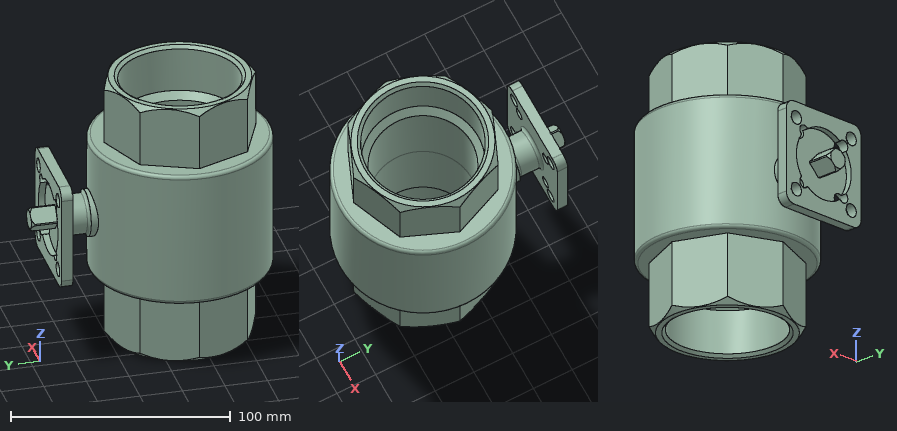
import cadquery as cq
import math

LENGTH = 130.0
BODY_DIAMETER = 85.0
TOP_END_LENGTH = 29.8
BOTTOM_END_LENGTH = 34.3
BODY_EDGE_FILLET = 1.7

OCTAGON_SIDES = 8
OCTAGON_CORNER_DIAMETER = 71.5
END_FACE_DIAMETER = 65.5
END_CHAMFER_HEIGHT = 3.0

BORE_DIAMETER = 50.0
SOCKET_DIAMETER = 56.7
SOCKET_DEPTH = 22.9
MOUTH_CHAMFER = 1.5

COLLAR_DIAMETER = 22.0
NECK_DIAMETER = 19.0
COLLAR_TOP = 44.5
PLATE_BOTTOM = 56.4
PLATE_TOP = 61.9
STEM_TIP = 71.0
NECK_FILLET = 1.5
COLLAR_FILLET = 1.4

PLATE_WIDTH = 48.4
PLATE_HEIGHT = 51.0
PLATE_CORNER_RADIUS = 5.0
OUTER_BOLT_CIRCLE = 50.0
OUTER_HOLE_DIAMETER = 6.5
INNER_BOLT_CIRCLE = 36.0
INNER_HOLE_DIAMETER = 5.5
RECESS_DIAMETER = 35.4
RECESS_DEPTH = 3.1

DRIVE_SQUARE = 9.0
DRIVE_CORNER_DIAMETER = 12.0
DRIVE_TIP_CHAMFER = 1.3

HALF_LENGTH = LENGTH / 2
BODY_BOTTOM = BOTTOM_END_LENGTH - HALF_LENGTH
RECESS_FLOOR = PLATE_TOP - RECESS_DEPTH
BODY_HEIGHT = LENGTH - TOP_END_LENGTH - BOTTOM_END_LENGTH


def plane_across_stem(distance):
    """XZ sketch plane at a distance from the bore axis, facing +Y."""
    return cq.Workplane(cq.Plane(origin=(0, distance, 0), xDir=(-1, 0, 0), normal=(0, 1, 0)))


def make_body():
    body = cq.Workplane("XY").workplane(offset=BODY_BOTTOM).circle(BODY_DIAMETER / 2).extrude(BODY_HEIGHT)
    return body.edges("%CIRCLE").fillet(BODY_EDGE_FILLET)


def make_octagon():
    """Octagonal bar over the full length, its end corners turned down to a cone."""
    bar = (
        cq.Workplane("XY")
        .workplane(offset=-HALF_LENGTH)
        .polygon(OCTAGON_SIDES, OCTAGON_CORNER_DIAMETER)
        .extrude(LENGTH)
    )
    end_radial = (OCTAGON_CORNER_DIAMETER - END_FACE_DIAMETER) / 2
    turned_envelope = (
        cq.Workplane("XY")
        .workplane(offset=-HALF_LENGTH)
        .circle(OCTAGON_CORNER_DIAMETER / 2)
        .extrude(LENGTH)
        .faces(">Z or <Z")
        .chamfer(END_CHAMFER_HEIGHT, end_radial)
    )
    return bar.intersect(turned_envelope)


def make_bore():
    """Through bore with a chamfered socket at each end and a 45 degree socket floor."""
    bore_radius = BORE_DIAMETER / 2
    socket_radius = SOCKET_DIAMETER / 2
    mouth_radius = socket_radius + MOUTH_CHAMFER
    socket_floor = HALF_LENGTH - SOCKET_DEPTH
    cone_end = socket_floor - (socket_radius - bore_radius)
    half = (
        cq.Workplane("XZ")
        .moveTo(0, 0)
        .lineTo(bore_radius, 0)
        .lineTo(bore_radius, cone_end)
        .lineTo(socket_radius, socket_floor)
        .lineTo(socket_radius, HALF_LENGTH - MOUTH_CHAMFER)
        .lineTo(mouth_radius, HALF_LENGTH)
        .lineTo(0, HALF_LENGTH)
        .close()
        .revolve(360, (0, 0, 0), (0, 1, 0))
    )
    return half.union(half.mirror("XY"))


def make_stem():
    """Collar and neck, turned about Y, flaring into the mounting plate."""
    collar_radius = COLLAR_DIAMETER / 2
    neck_radius = NECK_DIAMETER / 2
    arc_midpoint = 1 - math.sqrt(0.5)
    collar_arc = COLLAR_FILLET * arc_midpoint
    neck_arc = NECK_FILLET * arc_midpoint
    return (
        cq.Workplane("XY")
        .moveTo(0, 0)
        .lineTo(collar_radius, 0)
        .lineTo(collar_radius, COLLAR_TOP)
        .lineTo(neck_radius + COLLAR_FILLET, COLLAR_TOP)
        .threePointArc(
            (neck_radius + collar_arc, COLLAR_TOP + collar_arc),
            (neck_radius, COLLAR_TOP + COLLAR_FILLET),
        )
        .lineTo(neck_radius, PLATE_BOTTOM - NECK_FILLET)
        .threePointArc(
            (neck_radius + neck_arc, PLATE_BOTTOM - neck_arc),
            (neck_radius + NECK_FILLET, PLATE_BOTTOM),
        )
        .lineTo(0, PLATE_BOTTOM)
        .close()
        .revolve(360, (0, 0, 0), (0, 1, 0))
    )


def make_plate():
    """Mounting plate with two square bolt patterns and a round centring recess in its outer face."""
    thickness = PLATE_TOP - PLATE_BOTTOM
    plate = (
        plane_across_stem(PLATE_BOTTOM)
        .rect(PLATE_WIDTH, PLATE_HEIGHT)
        .extrude(thickness)
        .edges("|Y")
        .fillet(PLATE_CORNER_RADIUS)
    )
    bolt_patterns = (
        (OUTER_BOLT_CIRCLE, OUTER_HOLE_DIAMETER),
        (INNER_BOLT_CIRCLE, INNER_HOLE_DIAMETER),
    )
    for bolt_circle, hole_diameter in bolt_patterns:
        holes = (
            plane_across_stem(PLATE_BOTTOM)
            .polarArray(bolt_circle / 2, 45, 360, 4)
            .circle(hole_diameter / 2)
            .extrude(thickness)
        )
        plate = plate.cut(holes)
    recess = plane_across_stem(RECESS_FLOOR).circle(RECESS_DIAMETER / 2).extrude(RECESS_DEPTH)
    return plate.cut(recess)


def make_drive_square():
    """Square drive rising from the recess floor, set on its corner, with corners and tip turned down."""
    length = STEM_TIP - RECESS_FLOOR
    square = (
        plane_across_stem(RECESS_FLOOR)
        .transformed(rotate=(0, 0, 45))
        .rect(DRIVE_SQUARE, DRIVE_SQUARE)
        .extrude(length)
    )
    turned_envelope = (
        plane_across_stem(RECESS_FLOOR)
        .circle(DRIVE_CORNER_DIAMETER / 2)
        .extrude(length)
        .faces(">Y")
        .chamfer(DRIVE_TIP_CHAMFER)
    )
    return square.intersect(turned_envelope)


housing = make_body().union(make_octagon()).union(make_stem()).cut(make_bore())
result = housing.union(make_plate()).union(make_drive_square())